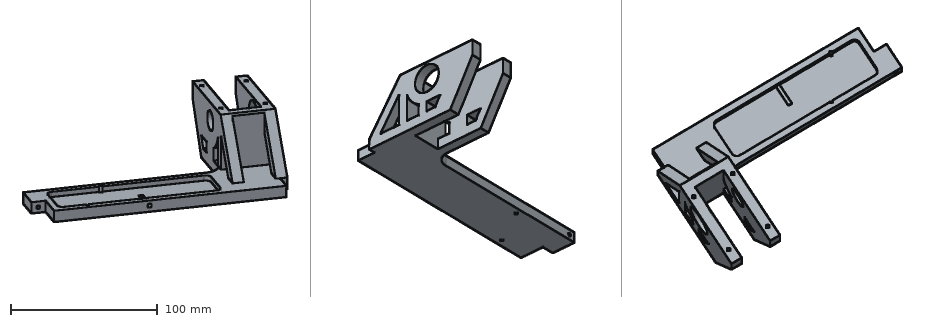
import cadquery as cq

length_x = 110.0
length_y = 181.0
height = 48.1
plate_thickness = 8.3

arm_left = 70.0
tail_right = 90.0
tail_length = 10.1
plate_back = length_y - 5.2
corner_radius = 11.2

wall_thickness = 8.3
front_wall_thickness = 8.0
bracket_depth = 39.1
bracket_front = length_y - bracket_depth
nose_height = 35.7
foot_x = 20.5
top_end_x = 66.6
brace_end_x = 95.0
web_left = 60.1
web_right = 67.7

bore_x = 42.0
bore_z = 34.8
front_bore_radius = 7.0
back_bore_radius = 10.9
relief_left = 49.6
relief_radius = 19.0
brace_window_top = 32.5
brace_window_right = 84.7
window_left = 20.6
window_bottom_left = 25.3
window_right = 33.1
window_top = 16.1
back_window_shift = 9.0

rim = 5.2
tray_left = 75.0
tray_right = length_x - rim
tray_front = 15.0
tray_back = 131.4
tray_depth = 3.8
tray_radius = 4.0
duct_left = 89.0
duct_y = 78.2
duct_radius = 1.5

small_radius = 1.18
screw_columns = (9.8, 54.7)
screw_depth = 9.0
screw_inset = 3.8
tray_holes = [(tray_left, 54.0), (tray_right, 35.5)]
tail_hole_y = 4.9


def box(x0, x1, y0, y1, z0, z1):
    """Axis-aligned block between two opposite corners."""
    return cq.Workplane("XY").box(x1 - x0, y1 - y0, z1 - z0, centered=False).translate((x0, y0, z0))


def xz_plane(y):
    """Sketch plane facing the front; a negative extrusion runs toward the back."""
    return cq.Workplane(cq.Plane(origin=(0, y, 0), xDir=(1, 0, 0), normal=(0, -1, 0)))


def slot_between_walls():
    return box(0, web_left, bracket_front + front_wall_thickness, length_y - wall_thickness, 0, height)


def side_profile(y, depth):
    """Outline of the bracket walls, from the slanted nose to the brace toe."""
    outline = [
        (foot_x, 0), (brace_end_x, 0), (brace_end_x, plate_thickness),
        (top_end_x, height), (0, height), (0, nose_height),
    ]
    return xz_plane(y).polyline(outline).close().extrude(-depth)


def make_plate():
    outline = [
        (0, bracket_front), (arm_left, bracket_front), (arm_left, 0), (tail_right, 0),
        (tail_right, tail_length), (length_x, tail_length), (length_x, plate_back), (0, plate_back),
    ]
    plate = cq.Workplane("XY").polyline(outline).close().extrude(plate_thickness)
    inner_corner = cq.selectors.NearestToPointSelector((arm_left, bracket_front, plate_thickness / 2))
    plate = plate.edges(inner_corner).fillet(corner_radius)
    nose = [(0, 0), (foot_x, 0), (0, nose_height)]
    return plate.cut(xz_plane(bracket_front).polyline(nose).close().extrude(-length_y))


def make_bracket():
    bracket = side_profile(bracket_front, bracket_depth)
    behind_web = box(
        web_right, brace_end_x, bracket_front + front_wall_thickness,
        length_y - wall_thickness, plate_thickness, height,
    )
    bracket = bracket.cut(behind_web)
    brace_window = [
        (web_right, plate_thickness), (brace_window_right, plate_thickness), (web_right, brace_window_top),
    ]
    bracket = bracket.cut(xz_plane(bracket_front).polyline(brace_window).close().extrude(-bracket_depth))
    relief = box(relief_left, web_left, bracket_front, length_y, plate_thickness, bore_z)
    disc = xz_plane(bracket_front).center(bore_x, bore_z).circle(relief_radius).extrude(-bracket_depth)
    return bracket.cut(relief.cut(disc))


def wall_openings(y, thickness, bore_radius, window_shift):
    """Bore and slanted window through one wall."""
    bore = xz_plane(y).center(bore_x, bore_z).circle(bore_radius).extrude(-thickness)
    window = [
        (window_bottom_left, plate_thickness), (window_right, plate_thickness),
        (window_right, window_top), (window_left, window_top),
    ]
    shifted = [(x + window_shift, z) for x, z in window]
    return bore.union(xz_plane(y).polyline(shifted).close().extrude(-thickness))


def make_tray():
    floor = plate_thickness - tray_depth
    tray = box(tray_left, tray_right, tray_front, tray_back, floor, plate_thickness)
    tray = tray.edges("|Z").fillet(tray_radius)
    duct = cq.Workplane("YZ", origin=(duct_left, duct_y, floor)).circle(duct_radius)
    return tray.union(duct.extrude(length_x - duct_left))


def make_small_holes():
    screw_points = [
        (x, y)
        for x in screw_columns
        for y in (bracket_front + screw_inset, length_y - screw_inset)
    ]
    screws = cq.Workplane("XY", origin=(0, 0, height)).pushPoints(screw_points)
    holes = screws.circle(small_radius).extrude(-screw_depth)
    through = cq.Workplane("XY").pushPoints(tray_holes).circle(small_radius).extrude(plate_thickness)
    tail = cq.Workplane("YZ").center(tail_hole_y, plate_thickness / 2).circle(small_radius).extrude(length_x)
    return holes.union(through).union(tail)


result = make_plate().union(make_bracket()).cut(slot_between_walls())
result = result.cut(wall_openings(bracket_front, front_wall_thickness, front_bore_radius, 0))
result = result.cut(
    wall_openings(length_y - wall_thickness, wall_thickness, back_bore_radius, back_window_shift)
)
result = result.cut(make_tray()).cut(make_small_holes())